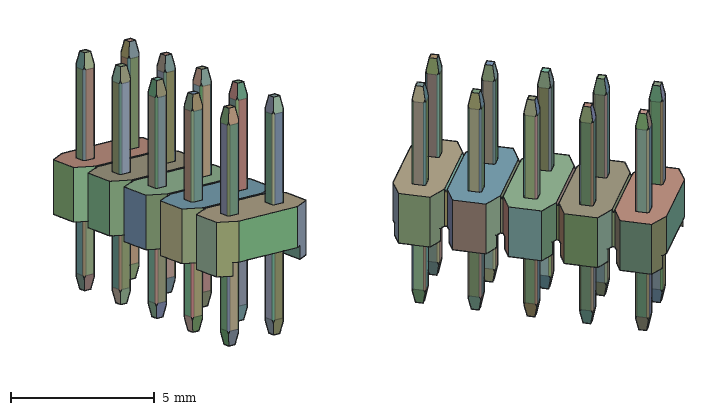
import cadquery as cq

columns = 5
rows = 2
pitch = 2.0

length = 9.8
width = rows * pitch
height = 2.0
end_chamfer_x = 0.37
corner_chamfer_y = 0.69
notch_half_width = 0.4
notch_floor = 0.1
groove_depth = 0.12
channel_depth = 0.5
leg_thickness = 0.5

pin_side = 0.5
pin_edge_radius = 0.08
pin_above = 3.9
pin_below = 2.8
tip_side = 0.27
tip_height = 0.59

column_positions = [(i - (columns - 1) / 2) * pitch for i in range(columns)]
row_positions = [(j - (rows - 1) / 2) * pitch for j in range(rows)]
joint_positions = [x + pitch / 2 for x in column_positions[:-1]]
web_half_width = width / 2 - corner_chamfer_y


def long_side_outline(side):
    """Points from -X to +X along one long side, dipping into a notch at every joint."""
    outer_y = side * width / 2
    inner_y = side * web_half_width
    points = [(-length / 2, inner_y), (-length / 2 + end_chamfer_x, outer_y)]
    for x in joint_positions:
        points += [
            (x - notch_half_width, outer_y),
            (x - notch_floor / 2, inner_y),
            (x + notch_floor / 2, inner_y),
            (x + notch_half_width, outer_y),
        ]
    points += [(length / 2 - end_chamfer_x, outer_y), (length / 2, inner_y)]
    return points


def make_housing():
    outline = long_side_outline(-1) + long_side_outline(1)[::-1]
    housing = cq.Workplane("XY").polyline(outline).close().extrude(height)

    channel_width = width - 2 * leg_thickness
    channel = cq.Workplane("XY").box(length, channel_width, channel_depth, centered=(True, True, False))
    housing = housing.cut(channel)

    for x in joint_positions:
        groove = (
            cq.Workplane("XZ")
            .polyline([
                (x - notch_floor / 2, height),
                (x, height - groove_depth),
                (x + notch_floor / 2, height),
            ])
            .close()
            .extrude(width / 2, both=True)
        )
        housing = housing.cut(groove)
    return housing


def make_tip_envelope(base_z, direction):
    """Square frustum that narrows from the pin section to the tip."""
    return (
        cq.Workplane("XY", origin=(0, 0, base_z))
        .rect(pin_side, pin_side)
        .workplane(offset=direction * tip_height)
        .rect(tip_side, tip_side)
        .loft(ruled=True)
    )


def make_pin():
    bottom = -pin_below
    top = height + pin_above
    straight_length = top - bottom - 2 * tip_height
    bar = (
        cq.Workplane("XY", origin=(0, 0, bottom))
        .rect(pin_side, pin_side)
        .extrude(top - bottom)
        .edges("|Z")
        .fillet(pin_edge_radius)
    )
    envelope = (
        cq.Workplane("XY", origin=(0, 0, bottom + tip_height))
        .rect(pin_side, pin_side)
        .extrude(straight_length)
        .union(make_tip_envelope(top - tip_height, 1))
        .union(make_tip_envelope(bottom + tip_height, -1))
    )
    return bar.intersect(envelope)


result = make_housing()
pin = make_pin()
for pin_x in column_positions:
    for pin_y in row_positions:
        result = result.union(pin.translate((pin_x, pin_y, 0)))